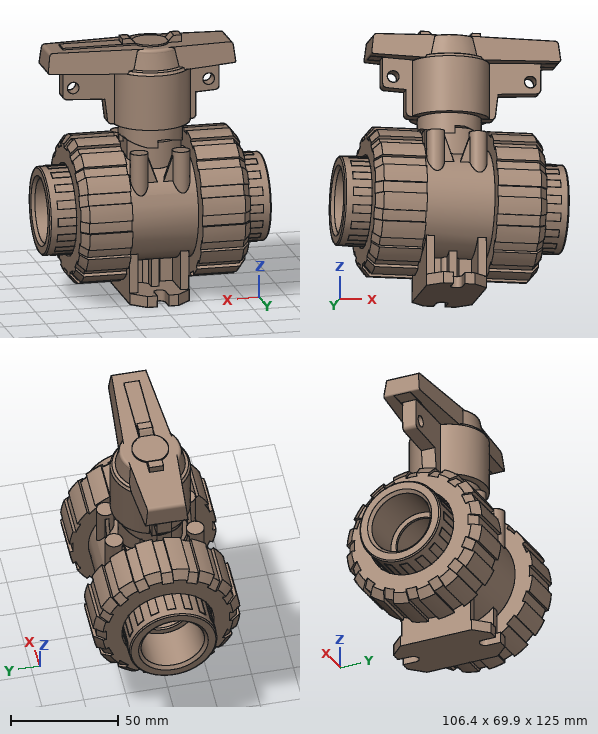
import cadquery as cq
import math


half_length = 53.2
base_bottom = -43.0
handle_top = 82.0

body_radius = 26.0
body_half_length = 30.0
flow_bore = 25.0
neck_radius = 15.0
neck_half_width = 13.0
neck_top = 34.0
pin_diameter = 8.4
pin_spacing = 20.1
pin_x = pin_spacing / 2
pin_y = 19.4
pin_top = 30.9
gusset_top = 28.4
gusset_drop = 9.6
gusset_run = 3.5
gusset_thickness = 1.7
side_gusset_offset = 1.7

base_half_x = 14.2
base_half_y = 25.2
base_thickness = 5.4
base_corner = 6.7
base_slot_width = 5.5
base_slot_y = 18.6
leg_thickness = 4.0
leg_half_y = 17.9
cross_wall_thickness = 3.7
rib_half_y = 9.7
post_radius = 4.6

nut_inner_end = 16.9
nut_outer_end = 40.7
nut_diameter = 70.1
nut_radius = nut_diameter / 2
nut_chamfer_length = 3.4
nut_chamfer_height = 4.0
nut_notch_count = 16
nut_notch_width = 5.4
nut_notch_depth = 1.6
nut_lip_diameter = 43.9
nut_lip_start = 35.0

connector_radius = 20.9
connector_edge = 0.6
socket_diameter = 30.2
socket_chamfer = 1.5
socket_depth = 22.0
pad_count = 16
pad_width = 4.0
pad_height = 0.2
pad_end = 49.3

hub_radius = 18.7
hub_bottom = 41.0
hub_shoulder = 67.3
slot_half_width = 4.2
slot_top = 68.8
stem_top = 54.2
cam_low = 31.2
cam_high = 34.9
cam_ramp_half = 7.0
bar_top = 78.7
bar_left = -39.0
bar_right = 51.6
bar_draft = 7.0
bar_left_half_width = 10.4
bar_right_half_width = 9.5
bar_middle_half_width = 13.4
bar_bottom_middle = 66.8
bar_bottom_end = 68.8
bar_edge_radius = 1.7
bar_foot_radius = 0.9
boss_bottom = 69.2
boss_bottom_radius = 16.4
boss_top_radius = 14.6
boss_edge_radius = 1.6
shoulder_rim_radius = 17.9
shoulder_rim = 68.7
shoulder_bulge = 0.19
web_thickness = 7.0
web_left = -32.2
web_right = 42.9
web_foot = 21.1
web_right_step = 22.6
web_end_bottom = 54.3
web_left_inner_bottom = 53.7
web_right_inner_bottom = 53.2
web_root = 71.2
web_corner = 2.0
hole_diameter = 5.5
hole_inset = 5.0
hole_z = 59.7
disc_radius = 8.6
disc_top = 79.5
tab_outer = 14.2
tab_inner_top = 10.5
tab_bevel_width = 0.9
tab_bevel_height = 0.6
tab_inner_foot = 8.0
tab_width = 6.7
pointer_width = 7.4


def x_cylinder(radius, start, end):
    return cq.Workplane("YZ").workplane(offset=start).circle(radius).extrude(end - start)


def z_cylinder(radius, bottom, top):
    return cq.Workplane("XY").workplane(offset=bottom).circle(radius).extrude(top - bottom)


def box(x_range, y_range, z_range):
    size = [high - low for low, high in (x_range, y_range, z_range)]
    return cq.Workplane("XY").box(*size, centered=False).translate((x_range[0], y_range[0], z_range[0]))


def revolve_about_x(points):
    """Revolve a closed (x, radius) outline about the flow axis."""
    return cq.Workplane("XY").polyline(points).close().revolve(360, (0, 0, 0), (1, 0, 0))


def y_prism(points, width):
    """Extrude a closed (x, z) outline to both sides of the XZ plane."""
    return cq.Workplane("XZ").polyline(points).close().extrude(width / 2, both=True)



def make_neck():
    neck = z_cylinder(neck_radius, 0, neck_top)
    return neck.intersect(cq.Workplane("XY").box(2 * neck_half_width, 2 * neck_radius, 2 * neck_top))


def make_pin():
    """The pin in the +X +Y corner, with one gusset toward each centre plane."""
    pin = z_cylinder(pin_diameter / 2, 0, pin_top)
    gusset_start = -pin_diameter / 2
    gusset_reach = gusset_top * gusset_run / gusset_drop
    outline = [
        (0, 0),
        (gusset_start - gusset_reach, 0),
        (gusset_start, gusset_top),
        (0, gusset_top),
    ]
    toward_x = y_prism(outline, gusset_thickness)
    toward_y = toward_x.rotate((0, 0, 0), (0, 0, 1), 90).translate((side_gusset_offset, 0, 0))
    return pin.union(toward_x).union(toward_y).translate((pin_x, pin_y, 0))


def make_base():
    plate_top = base_bottom + base_thickness
    plate = (
        cq.Workplane("XY").workplane(offset=base_bottom)
        .rect(2 * base_half_x, 2 * base_half_y).extrude(base_thickness)
        .edges("|Z").chamfer(base_corner)
    )
    slot_length = 2 * base_half_y
    for side in (1, -1):
        slot = (
            cq.Workplane("XY").workplane(offset=base_bottom)
            .center(0, side * (base_slot_y - base_slot_width / 2 + slot_length / 2))
            .slot2D(slot_length, base_slot_width, 90).extrude(base_thickness)
        )
        plate = plate.cut(slot)
    base = plate
    for side in (1, -1):
        inner, outer = sorted((side * (base_half_x - leg_thickness), side * base_half_x))
        base = base.union(box((inner, outer), (-leg_half_y, leg_half_y), (plate_top, 0)))
    half_wall = cross_wall_thickness / 2
    base = base.union(box((-base_half_x, base_half_x), (-half_wall, half_wall), (plate_top, 0)))
    base = base.union(box((-half_wall, half_wall), (-rib_half_y, rib_half_y), (plate_top, 0)))
    return base.union(z_cylinder(post_radius, plate_top, 0))


def make_housing(stem):
    housing = x_cylinder(body_radius, -body_half_length, body_half_length)
    housing = housing.union(make_neck()).union(make_base())
    pin = make_pin()
    mirrored_pin = pin.mirror("YZ")
    for corner_pin in (pin, mirrored_pin, pin.mirror("XZ"), mirrored_pin.mirror("XZ")):
        housing = housing.union(corner_pin)
    bore = x_cylinder(flow_bore / 2, -body_half_length, body_half_length)
    return housing.cut(bore).cut(stem)



def nut_blank(radius):
    """A chamfered ring that takes the housing end and holds the connector flange."""
    return revolve_about_x([
        (nut_inner_end, body_radius),
        (nut_inner_end, radius),
        (nut_outer_end - nut_chamfer_length, radius),
        (nut_outer_end, radius - nut_chamfer_height),
        (nut_outer_end, nut_lip_diameter / 2),
        (nut_lip_start, nut_lip_diameter / 2),
        (nut_lip_start, body_radius),
    ])


def make_nut():
    teeth = nut_blank(nut_radius)
    half_notch = nut_notch_width / 2
    notch_reach = (nut_radius - 2 * nut_chamfer_height, 2 * nut_radius)
    notch = box((nut_inner_end, nut_outer_end), (-half_notch, half_notch), notch_reach)
    for index in range(nut_notch_count):
        teeth = teeth.cut(notch.rotate((0, 0, 0), (1, 0, 0), index * 360 / nut_notch_count))
    return teeth.union(nut_blank(nut_radius - nut_notch_depth))



def make_connector():
    socket_radius = socket_diameter / 2
    socket_start = half_length - socket_depth
    connector = revolve_about_x([
        (body_half_length, flow_bore / 2),
        (body_half_length, body_radius),
        (nut_lip_start, body_radius),
        (nut_lip_start, connector_radius),
        (half_length - connector_edge, connector_radius),
        (half_length, connector_radius - connector_edge),
        (half_length, socket_radius + socket_chamfer),
        (half_length - socket_chamfer, socket_radius),
        (socket_start, socket_radius),
        (socket_start, flow_bore / 2),
    ])
    pad_ring = x_cylinder(connector_radius + pad_height, nut_lip_start, pad_end)
    pad_ring = pad_ring.cut(x_cylinder(socket_radius + socket_chamfer, nut_lip_start, pad_end))
    half_pad = pad_width / 2
    pad_space = box((nut_lip_start, pad_end), (-half_pad, half_pad), (0, body_radius))
    for index in range(pad_count):
        turned_space = pad_space.rotate((0, 0, 0), (1, 0, 0), index * 360 / pad_count)
        connector = connector.union(pad_ring.intersect(turned_space))
    return connector



def make_stem():
    """Round stem whose lower end has four cam ramps, one in each quadrant."""
    stem = z_cylinder(neck_radius, cam_low, stem_top)
    space = 2 * neck_radius
    ramp = y_prism([
        (-space, cam_low),
        (cam_ramp_half, cam_low),
        (-cam_ramp_half, cam_high),
        (-space, cam_high),
    ], 2 * space)
    ramp = ramp.rotate((0, 0, 0), (0, 0, 1), 135)
    quadrant = box((0, space), (0, space), (cam_low, cam_high))
    clearance = ramp.intersect(quadrant)
    for index in range(4):
        stem = stem.cut(clearance.rotate((0, 0, 0), (0, 0, 1), index * 90))
    return stem


def make_hub():
    """Round hub that rises through a rounded shoulder into a conical boss."""
    edge_rise = boss_edge_radius * (1 - math.sqrt(0.5))
    return (
        cq.Workplane("XZ").moveTo(0, hub_bottom)
        .lineTo(hub_radius, hub_bottom)
        .lineTo(hub_radius, hub_shoulder)
        .sagittaArc((shoulder_rim_radius, shoulder_rim), shoulder_bulge)
        .lineTo(boss_bottom_radius, boss_bottom)
        .lineTo(boss_top_radius, bar_top - boss_edge_radius)
        .threePointArc(
            (boss_top_radius - edge_rise, bar_top - edge_rise),
            (boss_top_radius - boss_edge_radius, bar_top),
        )
        .lineTo(0, bar_top).close()
        .revolve(360, (0, 0, 0), (0, 1, 0))
    )


def make_bar():
    """Drafted grip, widest over the hub, with an underside that rises toward both ends."""
    bar = (
        cq.Workplane("XY").workplane(offset=bar_bottom_middle)
        .polyline([
            (bar_left, -bar_left_half_width),
            (0, -bar_middle_half_width),
            (bar_right, -bar_right_half_width),
            (bar_right, bar_right_half_width),
            (0, bar_middle_half_width),
            (bar_left, bar_left_half_width),
        ]).close()
        .extrude(bar_top - bar_bottom_middle, taper=bar_draft)
    )
    for end in ("<X", ">X"):
        bar = bar.faces(">Z").edges(end).fillet(bar_edge_radius)
    side_outline = [
        (bar_left, bar_bottom_end),
        (0, bar_bottom_middle),
        (bar_right, bar_bottom_end),
        (bar_right, bar_top),
        (bar_left, bar_top),
    ]
    bar = bar.intersect(y_prism(side_outline, 4 * bar_middle_half_width))
    for end in ("<X", ">X"):
        bar = bar.edges("|Y").edges(end).fillet(bar_foot_radius)
    return bar


def make_web():
    """Flat web under the grip, with a locking hole near each end."""
    web = y_prism([
        (web_left, web_root),
        (web_left, web_end_bottom),
        (-web_foot, web_left_inner_bottom),
        (-web_foot, hub_bottom),
        (web_foot, hub_bottom),
        (web_right_step, web_right_inner_bottom),
        (web_right, web_end_bottom),
        (web_right, web_root),
    ], web_thickness)
    web = web.edges("|Y").edges("<X or >X or <Z").fillet(web_corner)
    for hole_x in (web_left + hole_inset, web_right - hole_inset):
        hole = cq.Workplane("XZ").center(hole_x, hole_z).circle(hole_diameter / 2)
        web = web.cut(hole.extrude(web_thickness, both=True))
    return web


def make_top_marks():
    """Raised disc, pointer strip and the two tabs beside the disc."""
    marks = z_cylinder(disc_radius, bar_top, disc_top)
    half_pointer = pointer_width / 2
    marks = marks.union(box((0, web_right), (-half_pointer, half_pointer), (bar_top, disc_top)))
    tab = y_prism([
        (tab_outer, bar_top),
        (tab_outer, handle_top),
        (tab_inner_top, handle_top),
        (tab_inner_top - tab_bevel_width, handle_top - tab_bevel_height),
        (tab_inner_foot, disc_top),
        (tab_inner_foot, bar_top),
    ], tab_width)
    return marks.union(tab).union(tab.mirror("YZ"))


def make_handle(stem):
    slot = box((bar_left, bar_right), (-slot_half_width, slot_half_width), (hub_bottom, slot_top))
    handle = make_hub().union(make_bar()).cut(slot)
    return handle.union(make_web()).union(stem).union(make_top_marks())



def both_ends(part):
    """A part on the +X end, and its copy turned half way round Z for the -X end."""
    return [part.rotate((0, 0, 0), (0, 0, 1), angle).val() for angle in (0, 180)]


stem = make_stem()
housing = make_housing(stem)
handle = make_handle(stem)
nuts = both_ends(make_nut())
connectors = both_ends(make_connector())

result = cq.Compound.makeCompound([housing.val(), handle.val(), *nuts, *connectors])